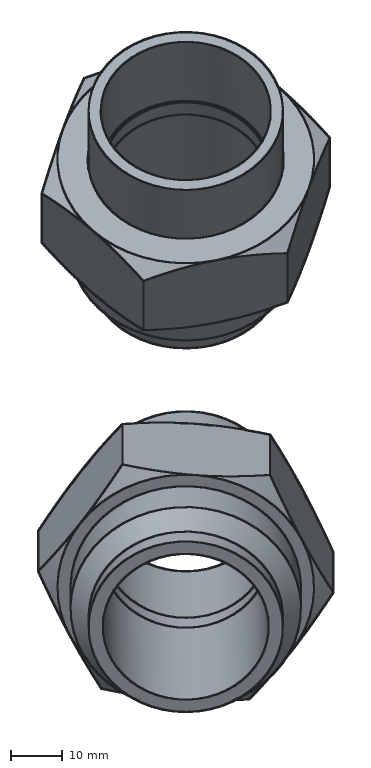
import cadquery as cq
import math

hex_corner_radius = 28.85
hex_flat_radius = hex_corner_radius * math.cos(math.pi / 6)
total_height = 53.0

pipe_radius = 18.95
tail_bore_radius = 16.55
body_bore_radius = 16.15
collar_radius = 22.45

neck_top = 4.05
collar_bottom = neck_top + collar_radius - pipe_radius
nut_bottom = 16.05
nut_height = 20.9
nut_top = nut_bottom + nut_height
nut_lip = 2.3
flange_top = nut_top - nut_lip
flange_bottom = 33.3
seal_height = 4.05
seal_bottom = flange_bottom - seal_height

nut_clearance = 0.2
nut_chamfer_angle = math.radians(30)
corner_drop = (hex_corner_radius - hex_flat_radius) * math.tan(nut_chamfer_angle)


def disc(radius, bottom, top):
    """Solid cylinder about Z between two levels."""
    return cq.Workplane("XY").workplane(offset=bottom).circle(radius).extrude(top - bottom)


def revolve_profile(points):
    """Turn an outline of (radius, height) points around Z."""
    return cq.Workplane("XZ").polyline(points).close().revolve(360, (0, 0), (0, 1))


def make_nut():
    """Hexagon nut, chamfered at both ends, with a lip that holds the tail flange."""
    prism = (
        cq.Workplane("XY")
        .workplane(offset=nut_bottom)
        .polygon(6, 2 * hex_corner_radius)
        .extrude(nut_height)
    )
    chamfer_envelope = revolve_profile([
        (0, nut_bottom),
        (hex_flat_radius, nut_bottom),
        (hex_corner_radius, nut_bottom + corner_drop),
        (hex_corner_radius, nut_top - corner_drop),
        (hex_flat_radius, nut_top),
        (0, nut_top),
    ])
    lip_hole = disc(pipe_radius + nut_clearance, nut_bottom, nut_top)
    body_bore = disc(collar_radius, nut_bottom, flange_top)
    return prism.intersect(chamfer_envelope).cut(lip_hole).cut(body_bore)


def make_tailpiece():
    """Upper pipe end with a flange caught under the nut lip."""
    return revolve_profile([
        (tail_bore_radius, flange_bottom),
        (collar_radius, flange_bottom),
        (collar_radius, flange_top),
        (pipe_radius, flange_top),
        (pipe_radius, total_height),
        (tail_bore_radius, total_height),
    ])


def make_seal():
    """Flat ring clamped between the tailpiece and the body."""
    ring = disc(collar_radius, seal_bottom, flange_bottom)
    return ring.cut(disc(body_bore_radius, seal_bottom, flange_bottom))


def make_body():
    """Lower pipe end: short neck, cone and collar that runs up into the nut."""
    return revolve_profile([
        (body_bore_radius, 0),
        (pipe_radius, 0),
        (pipe_radius, neck_top),
        (collar_radius, collar_bottom),
        (collar_radius, seal_bottom),
        (body_bore_radius, seal_bottom),
    ])


nut = make_nut()
tailpiece = make_tailpiece()
seal = make_seal()
body = make_body()

result = cq.Compound.makeCompound([nut.val(), tailpiece.val(), seal.val(), body.val()])